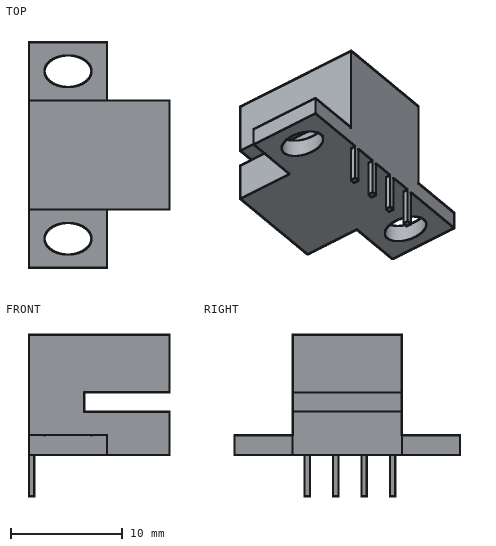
import cadquery as cq


body_length = 12.6
body_width = 9.8
body_height = 10.8

slot_depth = 7.64
slot_floor = 3.9
slot_height = 1.74

flange_length = 7.0
flange_width = 20.2
flange_thickness = 1.8
hole_length = 4.18
hole_width = 2.8
hole_x = flange_length / 2
hole_y = (flange_width + body_width) / 4

pin_count = 4
pin_side = 0.5
pin_length = 3.7
pin_pitch = 2.55
pin_row_y = 0.25


def plate(length, width, height):
    """Box standing on Z = 0 against X = 0 and centred on Y = 0."""
    return cq.Workplane("XY").box(length, width, height, centered=(False, True, False))


def slotted_body():
    slot = (
        plate(slot_depth, body_width, slot_height)
        .translate((body_length - slot_depth, 0, slot_floor))
    )
    return plate(body_length, body_width, body_height).cut(slot)


def flange():
    holes = (
        cq.Workplane("XY")
        .pushPoints([(hole_x, -hole_y), (hole_x, hole_y)])
        .ellipse(hole_length / 2, hole_width / 2)
        .extrude(flange_thickness)
    )
    return plate(flange_length, flange_width, flange_thickness).cut(holes)


def pin(index):
    y = pin_row_y + (index - (pin_count - 1) / 2) * pin_pitch
    return plate(pin_side, pin_side, pin_length).translate((0, y, -pin_length))


result = slotted_body().union(flange())
for pin_index in range(pin_count):
    result = result.union(pin(pin_index))